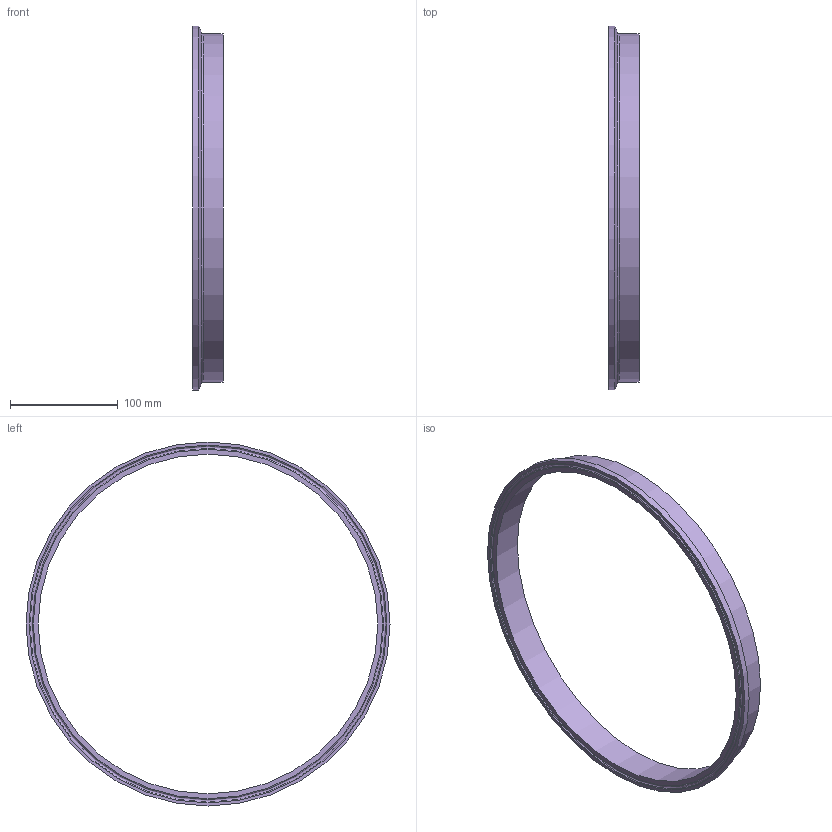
import cadquery as cq
import math

length = 28.0
flange_radius = 338.5 / 2
tube_radius = 323.9 / 2
wall_thickness = 4.0
bore_radius = tube_radius - wall_thickness

rim_width = 5.6
cone_angle = 20.0
neck_fillet_radius = 2.0

groove_pitch_radius = 164.45
groove_radius = 1.2
groove_depth = 1.6
groove_lip_radius = 0.8

sealing_face_x = -length / 2
axis_start = (0, 0)
axis_end = (1, 0)


def ferrule():
    """Tube with a clamp flange whose back is conical."""
    rim_end_x = sealing_face_x + rim_width
    flange_height = flange_radius - tube_radius
    cone_end_x = rim_end_x + flange_height * math.tan(math.radians(cone_angle))

    tangent_length = neck_fillet_radius * math.tan(math.radians((90 - cone_angle) / 2))
    fillet_start = (
        cone_end_x - tangent_length * math.sin(math.radians(cone_angle)),
        tube_radius + tangent_length * math.cos(math.radians(cone_angle)),
    )
    fillet_end = (cone_end_x + tangent_length, tube_radius)

    return (
        cq.Workplane("XZ")
        .moveTo(sealing_face_x, bore_radius)
        .lineTo(sealing_face_x, flange_radius)
        .lineTo(rim_end_x, flange_radius)
        .lineTo(*fillet_start)
        .radiusArc(fillet_end, -neck_fillet_radius)
        .lineTo(sealing_face_x + length, tube_radius)
        .lineTo(sealing_face_x + length, bore_radius)
        .close()
        .revolve(360, axis_start, axis_end)
    )


def gasket_groove():
    """Ring cutter: round floor blended into the sealing face by rounded lips."""
    floor_center_x = sealing_face_x + groove_depth - groove_radius
    lip_center_x = sealing_face_x + groove_lip_radius
    center_distance = groove_radius + groove_lip_radius
    center_offset_x = lip_center_x - floor_center_x
    half_width = math.sqrt(center_distance**2 - center_offset_x**2)

    touch_ratio = groove_radius / center_distance
    touch_x = floor_center_x + center_offset_x * touch_ratio
    touch_offset = half_width * touch_ratio

    return (
        cq.Workplane("XZ")
        .moveTo(sealing_face_x, groove_pitch_radius - half_width)
        .radiusArc((touch_x, groove_pitch_radius - touch_offset), groove_lip_radius)
        .threePointArc(
            (sealing_face_x + groove_depth, groove_pitch_radius),
            (touch_x, groove_pitch_radius + touch_offset),
        )
        .radiusArc((sealing_face_x, groove_pitch_radius + half_width), groove_lip_radius)
        .close()
        .revolve(360, axis_start, axis_end)
    )


result = ferrule().cut(gasket_groove())